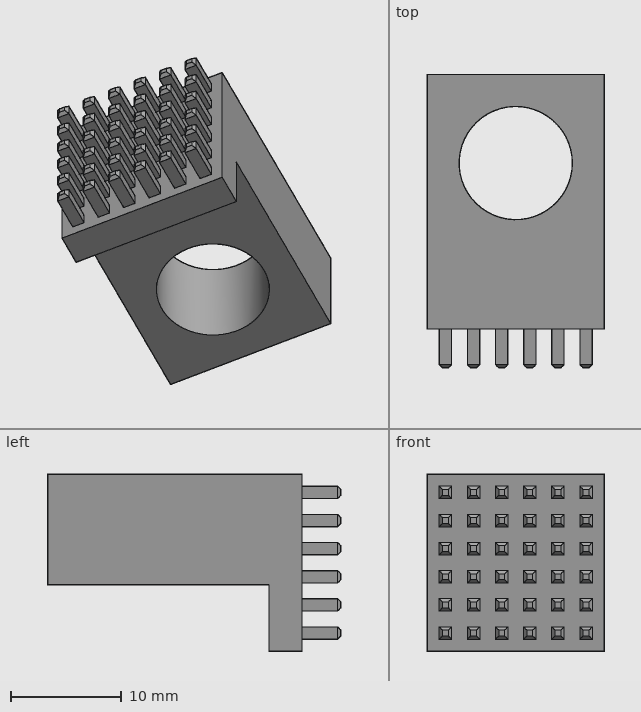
import cadquery as cq

width = 16.0
height = 16.0
body_length = 23.0
block_height = 10.0
plate_thickness = 3.0

hole_diameter = 10.2
hole_to_back = 8.0

pins_per_side = 6
pin_pitch = 2.54
pin_width = 1.13
pin_length = 3.5
tip_chamfer = 0.3

block_bottom = height - block_height
hole_y = body_length - hole_to_back


def make_body():
    """L-shaped block: tall pin plate at the front, shorter block behind it."""
    plate = cq.Workplane("XY").box(width, plate_thickness, height, centered=(True, False, False))
    block = (
        cq.Workplane("XY", origin=(0, 0, block_bottom))
        .box(width, body_length, block_height, centered=(True, False, False))
    )
    return plate.union(block)


def make_hole():
    """Vertical through hole in the block."""
    return (
        cq.Workplane("XY", origin=(0, hole_y, block_bottom))
        .circle(hole_diameter / 2)
        .extrude(block_height)
    )


def make_pin():
    """Square pin pointing to -Y from the origin, with a chamfered tip."""
    return (
        cq.Workplane("XZ")
        .rect(pin_width, pin_width)
        .extrude(pin_length)
        .faces("<Y")
        .chamfer(tip_chamfer)
    )


def add_pins(body):
    """Square grid of pins centred on the pin face."""
    pin = make_pin()
    first_offset = -pin_pitch * (pins_per_side - 1) / 2
    for column in range(pins_per_side):
        x = first_offset + column * pin_pitch
        for row in range(pins_per_side):
            z = height / 2 + first_offset + row * pin_pitch
            body = body.union(pin.translate((x, 0, z)))
    return body


result = add_pins(make_body().cut(make_hole()))